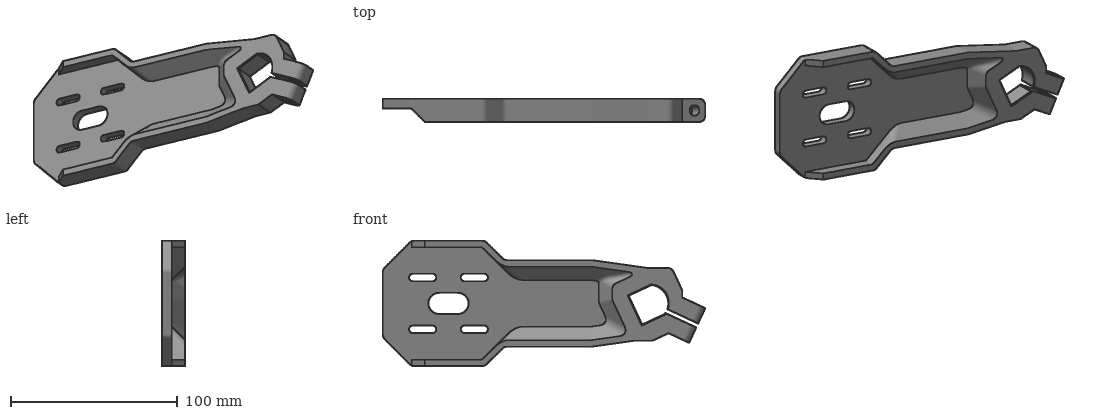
import cadquery as cq
import math


THICKNESS = 14.0
FLOOR = 6.0
DEPTH = THICKNESS - FLOOR
WALL = 4.0
EDGE_RADIUS = 4.0
POCKET_RADIUS = 6.0
TIP_RADIUS = 2.5
RAIL_CORNER_RADIUS = 1.0
DRAFT = 45.0

PLATE_LEFT = -39.5
PLATE_RIGHT = 21.7
PLATE_HALF = 37.65
PLATE_CHAMFER = 17.4
RAIL_START = PLATE_LEFT + PLATE_CHAMFER

SLOT_PITCH = 31.0
SLOT_LENGTH = 16.2
SLOT_WIDTH = 4.4
CENTRE_SLOT_LENGTH = 24.0
CENTRE_SLOT_WIDTH = 12.5

ARM_LEFT = 33.5
ARM_HALF = 26.0
BEND_X = 86.1
ARM_SLOPE = 8.0
HEAD_TOP = 21.3
HEAD_BOTTOM = -22.4
INNER_HALF = ARM_HALF - WALL
FLOOR_HALF = INNER_HALF - DEPTH

BORE_X = 120.7
TILT = 25.0
SEAT_HALF = 9.5
BORE_RADIUS = 11.0
BORE_CHAMFER = 0.5
HEAD_OFFSET = 21.0
NOSE_OFFSET = 19.5
NOSE_END = BORE_X - 22.55
HEAD_RIGHT = BORE_X + 19.5

TAB_END = 31.4
TAB_HALF = 11.5
TAB_RADIUS = 4.0
SLIT_HALF = 1.25
BOLT_DIAMETER = 6.3
BOLT_OFFSET = 24.3

SIN_TILT = math.sin(math.radians(TILT))
COS_TILT = math.cos(math.radians(TILT))
TAN_SLOPE = math.tan(math.radians(ARM_SLOPE))

REACH = 60.0
TOUCH = 0.01

TIP_DEPTH = 1.0


def prism(points, start=0.0, depth=THICKNESS, taper=0.0):
    """Extrude an XZ outline towards +Y; a positive taper narrows it."""
    plane = cq.Plane(origin=(0, start, 0), xDir=(1, 0, 0), normal=(0, 1, 0))
    flat = [(x, -z) for x, z in points]
    return cq.Workplane(plane).polyline(flat).close().extrude(depth, taper=taper)


def mirrored(upper):
    """Close an upper half outline with its mirror image below Z = 0."""
    return upper + [(x, -z) for x, z in reversed(upper)]


def in_tab_frame(u, v):
    """Point u along the tabs and v across them, measured from the bore axis."""
    return (BORE_X + u * COS_TILT + v * SIN_TILT, v * COS_TILT - u * SIN_TILT)


def in_seat_frame(u, v):
    """Point u along the seat (rising to the right) and v across it."""
    return (BORE_X + u * COS_TILT - v * SIN_TILT, u * SIN_TILT + v * COS_TILT)


def edges_through(solid, points):
    """Edges of the solid that pass through any of the given points."""
    vertices = [cq.Vertex.makeVertex(*point) for point in points]

    def touches(edge):
        return any(edge.distance(vertex) < TOUCH for vertex in vertices)

    return solid.edges().filter(touches)


def upright_edges(solid, points):
    """Edges parallel to Y that stand on the given XZ points."""
    return edges_through(solid, [(x, THICKNESS / 2, z) for x, z in points])


def seat_line_x(offset, z):
    """X at height Z on the line square to the seat, offset to its right."""
    return BORE_X + (offset - z * SIN_TILT) / COS_TILT


def make_body():
    """Full-thickness outline of plate, arm, clamp head and tabs."""
    plate_shoulder = PLATE_HALF - PLATE_CHAMFER
    upper = [
        (PLATE_LEFT, plate_shoulder),
        (PLATE_LEFT + PLATE_CHAMFER, PLATE_HALF),
        (PLATE_RIGHT, PLATE_HALF),
        (ARM_LEFT, ARM_HALF),
    ]
    bend = (BEND_X, ARM_HALF)
    top_corner = (seat_line_x(HEAD_OFFSET, HEAD_TOP), HEAD_TOP)
    taper_end = (BEND_X + (ARM_HALF - HEAD_TOP) / TAN_SLOPE, HEAD_TOP)
    head_right = [
        taper_end,
        top_corner,
        (HEAD_RIGHT, (HEAD_OFFSET - (HEAD_RIGHT - BORE_X) * COS_TILT) / SIN_TILT),
        (HEAD_RIGHT, (TAB_HALF - (HEAD_RIGHT - BORE_X) * SIN_TILT) / COS_TILT),
        in_tab_frame(TAB_END, TAB_HALF),
        in_tab_frame(TAB_END, -TAB_HALF),
    ]
    tab_root_x = (HEAD_OFFSET - TAB_HALF) / (2 * SIN_TILT)
    tab_root = (BORE_X + tab_root_x, -(HEAD_OFFSET + TAB_HALF) / (2 * COS_TILT))
    head_bottom = [
        tab_root,
        (BORE_X + (HEAD_OFFSET + HEAD_BOTTOM * COS_TILT) / SIN_TILT, HEAD_BOTTOM),
        (BEND_X + (ARM_HALF + HEAD_BOTTOM) / TAN_SLOPE, HEAD_BOTTOM),
    ]
    lower = [(x, -z) for x, z in reversed(upper + [bend])]
    body = prism(upper + [bend] + head_right + head_bottom + lower)
    rounded = upper + [(x, -z) for x, z in upper] + [top_corner, bend, taper_end]
    return upright_edges(body, rounded).fillet(EDGE_RADIUS)


def make_arm_channel():
    """Arm pocket with walls sloping down to the floor, left open at the clamp end."""
    bend_x = BEND_X - WALL * math.tan(math.radians(ARM_SLOPE / 2))
    upper = [
        (0.0, INNER_HALF),
        (bend_x, INNER_HALF),
        (bend_x + REACH, INNER_HALF - REACH * TAN_SLOPE),
    ]
    return prism(mirrored(upper), depth=DEPTH, taper=DRAFT)


def nose_outline(depth):
    """Outline of the solid clamp end at a depth below the front face."""
    offset = NOSE_OFFSET + depth
    left = NOSE_END - depth
    gap = BORE_X - left
    return [
        (left, (offset - gap * SIN_TILT) / COS_TILT),
        (left, (gap * COS_TILT - offset) / SIN_TILT),
        in_seat_frame(-offset, -REACH),
        in_seat_frame(REACH, -REACH),
        in_seat_frame(REACH, offset),
    ]


def make_nose():
    """Solid clamp end that closes the arm pocket, widening towards the floor."""
    nose = prism(nose_outline(DEPTH), start=DEPTH, depth=-DEPTH, taper=DRAFT)
    half_depth = DEPTH / 2
    corners = [(x, half_depth, z) for x, z in nose_outline(half_depth)[:2]]
    return edges_through(nose, corners).fillet(POCKET_RADIUS)


def valley_point(depth, side):
    """Point where the nose meets the sloping arm wall above (1) or below (-1)."""
    slope = math.radians(ARM_SLOPE)
    wall_normal = (math.sin(slope), side * math.cos(slope))
    wall_distance = (BEND_X * wall_normal[0] + ARM_HALF * math.cos(slope)) - WALL - depth
    nose_normal = (-SIN_TILT, COS_TILT) if side > 0 else (-COS_TILT, -SIN_TILT)
    nose_distance = BORE_X * nose_normal[0] + NOSE_OFFSET + depth
    det = wall_normal[0] * nose_normal[1] - wall_normal[1] * nose_normal[0]
    x = (wall_distance * nose_normal[1] - wall_normal[1] * nose_distance) / det
    z = (wall_normal[0] * nose_distance - wall_distance * nose_normal[0]) / det
    return (x, depth, z)


def make_plate_pocket():
    """Pocket between the plate rails, with upright walls, and its throat points."""
    turn = math.atan2(PLATE_HALF - ARM_HALF, ARM_LEFT - PLATE_RIGHT)
    rail_inner = PLATE_HALF - WALL
    corner_x = PLATE_RIGHT - WALL * math.tan(turn / 2)

    def throat_x(z):
        return corner_x + (rail_inner - z) / math.tan(turn)

    upper = [
        (PLATE_LEFT, rail_inner),
        (corner_x, rail_inner),
        (throat_x(FLOOR_HALF), FLOOR_HALF),
    ]
    middle_z = (INNER_HALF + FLOOR_HALF) / 2
    throat = [(throat_x(middle_z), DEPTH / 2, side * middle_z) for side in (1, -1)]
    corners = [(corner_x, DEPTH / 2, side * rail_inner) for side in (1, -1)]
    pocket = prism(mirrored(upper), depth=DEPTH)
    return edges_through(pocket, corners).fillet(RAIL_CORNER_RADIUS), throat


def make_pocket():
    """Plate and arm pockets joined, with rounded valleys and throat."""
    arm = make_arm_channel().cut(make_nose())
    arm = edges_through(arm, [valley_point(DEPTH / 2, -1)]).fillet(POCKET_RADIUS)
    arm = edges_through(arm, [valley_point(TIP_DEPTH, 1)]).fillet(TIP_RADIUS)
    plate, throat = make_plate_pocket()
    return edges_through(plate.union(arm), throat).fillet(POCKET_RADIUS)


def make_rail_ramps():
    """Clears the plate in front of the rails and slopes the rail ends."""
    profile = [
        (PLATE_LEFT, DEPTH),
        (RAIL_START, DEPTH),
        (RAIL_START + DEPTH, 0.0),
        (PLATE_LEFT, 0.0),
    ]
    ramps = cq.Workplane("XY").polyline(profile).close()
    return ramps.extrude(PLATE_HALF, both=True)


def make_slots():
    """Four motor screw slots around the wide centre slot."""
    plane = cq.Workplane("XZ", origin=(0, THICKNESS, 0))
    small = plane.rect(SLOT_PITCH, SLOT_PITCH, forConstruction=True).vertices()
    slots = small.slot2D(SLOT_LENGTH, SLOT_WIDTH).extrude(THICKNESS)
    return slots.union(plane.slot2D(CENTRE_SLOT_LENGTH, CENTRE_SLOT_WIDTH).extrude(THICKNESS))


def bore_outline(growth):
    """Square seat to the left of the axis and a round bore to the right."""
    half = SEAT_HALF + growth
    radius = BORE_RADIUS + growth
    reach = math.sqrt(radius**2 - half**2)
    points = [(reach, half), (-half, half), (-half, -half), (reach, -half)]
    top, left, bottom, end = [in_seat_frame(u, v) for u, v in points]
    return top, left, bottom, end, in_seat_frame(radius, 0)


def bore_wire(growth, y):
    """Closed bore outline at a given Y, grown outwards all round."""
    top, left, bottom, end, far = [cq.Vector(x, y, z) for x, z in bore_outline(growth)]
    return cq.Wire.assembleEdges([
        cq.Edge.makeLine(top, left),
        cq.Edge.makeLine(left, bottom),
        cq.Edge.makeLine(bottom, end),
        cq.Edge.makeThreePointArc(end, far, top),
    ])


def make_bore():
    """Clamp bore with a chamfered mouth on the front face."""
    through = cq.Solid.extrudeLinear(bore_wire(0.0, 0.0), [], cq.Vector(0, THICKNESS, 0))
    mouth = cq.Solid.makeLoft(
        [bore_wire(BORE_CHAMFER, 0.0), bore_wire(0.0, BORE_CHAMFER)], True
    )
    return cq.Workplane(through).union(cq.Workplane(mouth))


def make_slit():
    """Gap between the clamp tabs, from the bore outwards."""
    corners = [(0, SLIT_HALF), (REACH, SLIT_HALF), (REACH, -SLIT_HALF), (0, -SLIT_HALF)]
    return prism([in_tab_frame(u, v) for u, v in corners])


def make_bolt_hole():
    """Clamp bolt hole across both tabs."""
    x, z = in_tab_frame(BOLT_OFFSET, -TAB_HALF)
    across = cq.Vector(SIN_TILT, 0, COS_TILT)
    start = cq.Vector(x, THICKNESS / 2, z)
    hole = cq.Solid.makeCylinder(BOLT_DIAMETER / 2, 2 * TAB_HALF, start, across)
    return cq.Workplane(hole)


def round_tab_ends(part):
    """Round the front and back edges at the free end of each tab."""
    tab_middle = (SLIT_HALF + TAB_HALF) / 2
    ends = []
    for side in (1, -1):
        x, z = in_tab_frame(TAB_END, side * tab_middle)
        ends += [(x, 0.0, z), (x, THICKNESS, z)]
    return edges_through(part, ends).fillet(TAB_RADIUS)


part = make_body()
for cutter in (make_pocket(), make_rail_ramps(), make_slots(), make_bore(), make_slit()):
    part = part.cut(cutter)
result = round_tab_ends(part).cut(make_bolt_hole())